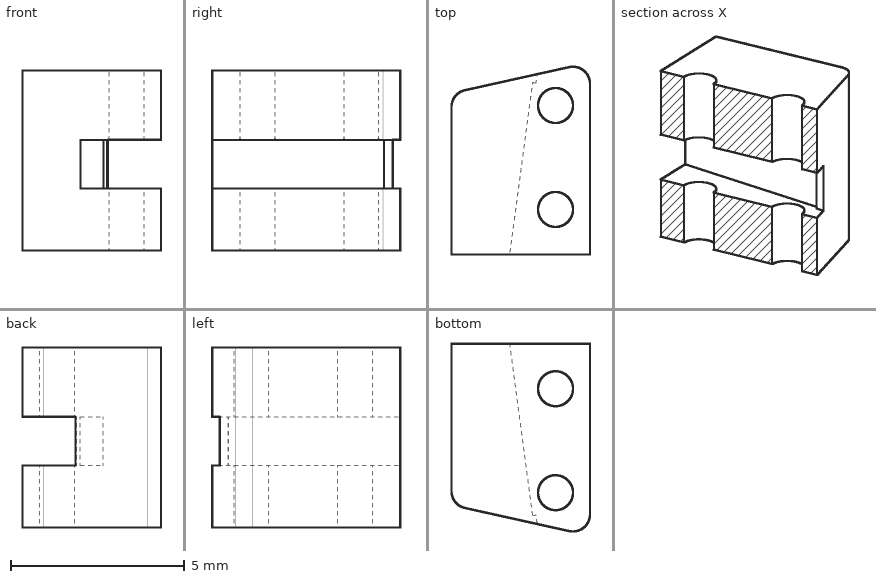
import cadquery as cq
import math

width = 4.0
length = 5.42
height = 5.2

back_slope = 12.5
corner_radius = 0.5

hole_diameter = 1.0
hole_x = 3.0
front_hole_y = 1.3
hole_spacing = 2.995

slot_floor = 1.8
slot_height = 1.4
slot_front_x = 1.68
slot_slant = 7.6
slot_wall_length = 5.0
slot_lip = 0.1

slope = math.radians(back_slope)
slant = math.radians(slot_slant)

corner_center_x = width - corner_radius
corner_center_y = length - corner_radius
tangent_x = corner_center_x - corner_radius * math.sin(slope)
tangent_y = corner_center_y + corner_radius * math.cos(slope)


def back_edge_y(x):
    """Y of the straight sloping back edge at a given X."""
    return tangent_y - (tangent_x - x) * math.tan(slope)


def make_block():
    outline = [(0, 0), (width, 0), (width, back_edge_y(width)), (0, back_edge_y(0))]
    block = cq.Workplane("XY").polyline(outline).close().extrude(height)
    back_corners = block.edges("|Z").edges(">Y or (<X and (not <Y))")
    return back_corners.fillet(corner_radius)


def make_slot():
    """Slot whose slanted inner wall ends in a square lip, then runs on parallel through the back."""
    wall_end_x = slot_front_x + slot_wall_length * math.sin(slant)
    wall_end_y = slot_wall_length * math.cos(slant)
    lip_x = wall_end_x + slot_lip * math.cos(slant)
    lip_y = wall_end_y - slot_lip * math.sin(slant)
    outline = [
        (slot_front_x, 0),
        (width, 0),
        (width, length),
        (lip_x + (length - lip_y) * math.tan(slant), length),
        (lip_x, lip_y),
        (wall_end_x, wall_end_y),
    ]
    return cq.Workplane("XY").workplane(offset=slot_floor).polyline(outline).close().extrude(slot_height)


def make_holes():
    centers = [(hole_x, front_hole_y), (hole_x, front_hole_y + hole_spacing)]
    return cq.Workplane("XY").pushPoints(centers).circle(hole_diameter / 2).extrude(height)


result = make_block().cut(make_slot()).cut(make_holes())